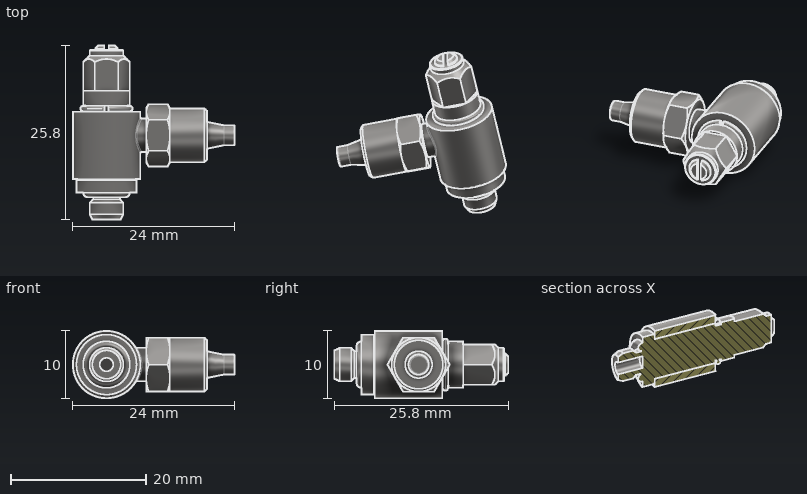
import cadquery as cq
import math


barrel_radius = 5.0
barrel_length = 10.0
barrel_top = 3.5
barrel_bottom = barrel_top - barrel_length

outlet_end = 19.0
stem_radius = 2.5
stem_fillet = 0.2

nut_across_flats = 8.0
nut_start = 5.85
nut_end = 9.4
nut_face_radius = 3.95
nut_chamfer_angle = math.radians(30)
nut_corner_radius = nut_across_flats / 2 / math.cos(math.radians(30))

cap_radius = 4.0
cap_end = 14.9
cap_chamfer = 0.4

barb_root_radius = 2.0
barb_tip_radius = 1.5
barb_taper_end = 17.35
barb_edge_fillet = 0.22

bolt_top = 13.3
screw_radius = 1.7
screw_taper = 0.46
screw_height = 0.65
slot_width = 0.66

head_top = bolt_top - screw_height
head_neck_radius = 2.5
head_neck_bottom = 11.8
head_edge_chamfer = 0.12
hex_across_flats = 6.0
hex_corner_radius = hex_across_flats / 2 / math.cos(math.radians(30))
hex_bottom = 6.6

shank_radius = 3.46
groove_width = 0.9
groove_radius = 3.1
ring_wire_radius = 0.4
ring_outer_radius = 3.87
ring_center_radius = ring_outer_radius - ring_wire_radius
ring_center_y = barrel_top + groove_width / 2
ring_gap = 0.55

collar_radius = 4.45
collar_bottom = -8.48
collar_chamfer = 0.17

neck_radius = 2.0
seal_wire_radius = 0.74
seal_center_radius = shank_radius - seal_wire_radius
seal_bottom = -9.2

stud_radius = 2.5
neck_bottom = -9.5
stud_shoulder = neck_bottom - (stud_radius - neck_radius)
stud_taper_start = -11.67
stud_tip_radius = 2.1
bolt_bottom = -12.5
port_radius = 1.0
port_end = collar_bottom


def revolve_about_y(points):
    """Solid of revolution about Y from (radius, y) points."""
    return cq.Workplane("XY").polyline(points).close().revolve(360, (0, 0), (0, 1))


def revolve_about_x(points):
    """Solid of revolution about X from (x, radius) points."""
    return cq.Workplane("XY").polyline(points).close().revolve(360, (0, 0), (1, 0))


def torus_about_y(center_radius, wire_radius, y):
    return (
        cq.Workplane("XY")
        .center(center_radius, y)
        .circle(wire_radius)
        .revolve(360, (-center_radius, 0), (-center_radius, 1))
    )


def cylinder_along_y(radius, start, end):
    """Cylinder on the bolt axis from y = start up to y = end."""
    return cq.Workplane("XZ", origin=(0, end, 0)).circle(radius).extrude(end - start)


def make_outlet_nut():
    """Hexagon with corners at +Y and -Y and a 30 degree chamfer on both ends."""
    hexagon = (
        cq.Workplane("YZ", origin=(nut_start, 0, 0))
        .polygon(6, 2 * nut_corner_radius)
        .extrude(nut_end - nut_start)
    )
    inner_chamfer = (nut_corner_radius - nut_face_radius) * math.tan(nut_chamfer_angle)
    outer_chamfer = (nut_corner_radius - cap_radius) * math.tan(nut_chamfer_angle)
    envelope = revolve_about_x([
        (nut_start, 0),
        (nut_start, nut_face_radius),
        (nut_start + inner_chamfer, nut_corner_radius),
        (nut_end - outer_chamfer, nut_corner_radius),
        (nut_end, cap_radius),
        (nut_end, 0),
    ])
    return hexagon.intersect(envelope)


def make_cap_and_barb():
    """Round cap beyond the nut, and the tapered hose barb at its end."""
    cap = (
        cq.Workplane("YZ", origin=(nut_end, 0, 0))
        .circle(cap_radius)
        .extrude(cap_end - nut_end)
        .faces(">X")
        .chamfer(cap_chamfer)
    )
    barb = revolve_about_x([
        (nut_end, 0),
        (nut_end, barb_root_radius),
        (cap_end, barb_root_radius),
        (barb_taper_end, barb_tip_radius),
        (outlet_end, barb_tip_radius),
        (outlet_end, 0),
    ])
    barb = barb.faces(">X").edges().fillet(barb_edge_fillet)
    return cap.union(barb)


def make_housing():
    """Barrel with its side outlet, bored through for the bolt shank."""
    barrel = cylinder_along_y(barrel_radius, barrel_bottom, barrel_top)
    stem = cq.Workplane("YZ").circle(stem_radius).extrude(nut_start)
    body = barrel.union(stem)
    stem_root = cq.selectors.BoxSelector(
        (stem_radius, -barrel_radius, -barrel_radius),
        (barrel_radius, barrel_top - stem_fillet, barrel_radius),
    )
    body = body.edges(stem_root).fillet(stem_fillet)
    body = body.union(make_outlet_nut()).union(make_cap_and_barb())
    bore = cylinder_along_y(shank_radius, barrel_bottom, barrel_top)
    return body.cut(bore)


def make_bolt_head():
    """Hexagon with corners at +X and -X, turned down to a 45 degree cone and a round neck."""
    hexagon = (
        cq.Workplane("XZ", origin=(0, head_top, 0))
        .polygon(6, 2 * hex_corner_radius)
        .extrude(head_top - hex_bottom)
    )
    cone_height = hex_corner_radius - head_neck_radius
    envelope = revolve_about_y([
        (0, head_top),
        (head_neck_radius - head_edge_chamfer, head_top),
        (head_neck_radius, head_top - head_edge_chamfer),
        (head_neck_radius, head_neck_bottom),
        (hex_corner_radius, head_neck_bottom - cone_height),
        (hex_corner_radius, hex_bottom),
        (0, hex_bottom),
    ])
    return hexagon.intersect(envelope)


def make_adjusting_screw_tip():
    """Tapered screw tip with a driver slot along Z."""
    tip = cylinder_along_y(screw_radius, head_top, bolt_top).faces(">Y").chamfer(screw_taper)
    slot = (
        cq.Workplane("XY")
        .box(slot_width, screw_height, 2 * screw_radius)
        .translate((0, bolt_top - screw_height / 2, 0))
    )
    return tip.cut(slot)


def make_snap_ring():
    """Round-wire ring, open at +Z, that fills the bolt groove."""
    gap = (
        cq.Workplane("XY")
        .box(ring_gap, groove_width, ring_outer_radius)
        .translate((0, ring_center_y, ring_outer_radius / 2))
    )
    return torus_about_y(ring_center_radius, ring_wire_radius, ring_center_y).cut(gap)


def make_shank_and_collar():
    """Shank with the snap ring groove, and the collar the barrel rests on."""
    groove_top = barrel_top + groove_width
    return revolve_about_y([
        (0, hex_bottom),
        (shank_radius, hex_bottom),
        (shank_radius, groove_top),
        (groove_radius, groove_top),
        (groove_radius, barrel_top),
        (shank_radius, barrel_top),
        (shank_radius, barrel_bottom),
        (collar_radius - collar_chamfer, barrel_bottom),
        (collar_radius, barrel_bottom - collar_chamfer),
        (collar_radius, collar_bottom),
        (0, collar_bottom),
    ])


def make_stud():
    """Undercut neck and stud with a tapered tip."""
    return revolve_about_y([
        (0, collar_bottom),
        (neck_radius, collar_bottom),
        (neck_radius, neck_bottom),
        (stud_radius, stud_shoulder),
        (stud_radius, stud_taper_start),
        (stud_tip_radius, bolt_bottom),
        (0, bolt_bottom),
    ])


def make_bolt():
    """Complete bolt with its ring, seal and blind port in the stud tip."""
    seal = torus_about_y(seal_center_radius, seal_wire_radius, seal_bottom + seal_wire_radius)
    port = cylinder_along_y(port_radius, bolt_bottom, port_end)
    return (
        make_shank_and_collar()
        .union(make_bolt_head())
        .union(make_adjusting_screw_tip())
        .union(make_snap_ring())
        .union(make_stud())
        .union(seal)
        .cut(port)
    )


housing = make_housing()
bolt = make_bolt()
result = cq.Compound.makeCompound([housing.val(), bolt.val()])